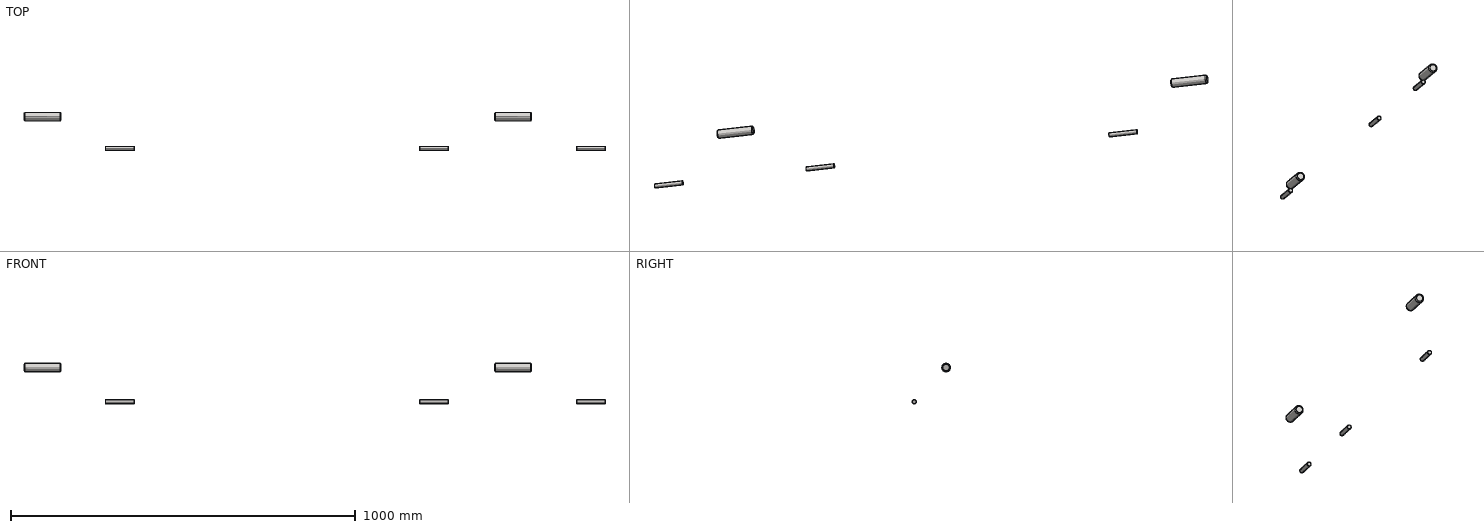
import cadquery as cq

overall_length = 1687.0
overall_width = 111.0
overall_height = 118.0

large_diameter = 25.0
large_length = 108.0
large_chamfer = 3.0
large_spacing = 1365.0

small_diameter = 12.7
small_length = 85.0
small_chamfer = 1.0
small_pitch = 455.0
small_pitches_from_last = [3, 1, 0]

radius_sum = (large_diameter + small_diameter) / 2
large_axis_y = overall_width - radius_sum
large_axis_z = overall_height - radius_sum
last_small_start = overall_length - small_length


def make_pin(diameter, length, chamfer, start):
    """Pin along +X with two half-round sides that meet at its top and bottom, chamfered at both ends."""
    radius = diameter / 2
    pin = (
        cq.Workplane(cq.Plane(origin=start, xDir=(0, 1, 0), normal=(1, 0, 0)))
        .moveTo(0, radius)
        .threePointArc((radius, 0), (0, -radius))
        .threePointArc((-radius, 0), (0, radius))
        .close()
        .extrude(length, clean=False)
    )
    return pin.faces("<X or >X").chamfer(chamfer)


def make_large_pin(start_x):
    start = (start_x, large_axis_y, large_axis_z)
    return make_pin(large_diameter, large_length, large_chamfer, start)


def make_small_pin(start_x):
    return make_pin(small_diameter, small_length, small_chamfer, (start_x, 0, 0))


large_pins = [make_large_pin(start_x) for start_x in (0, large_spacing)]
small_pins = [make_small_pin(last_small_start - count * small_pitch) for count in small_pitches_from_last]

result = cq.Compound.makeCompound([pin.val() for pin in large_pins + small_pins])